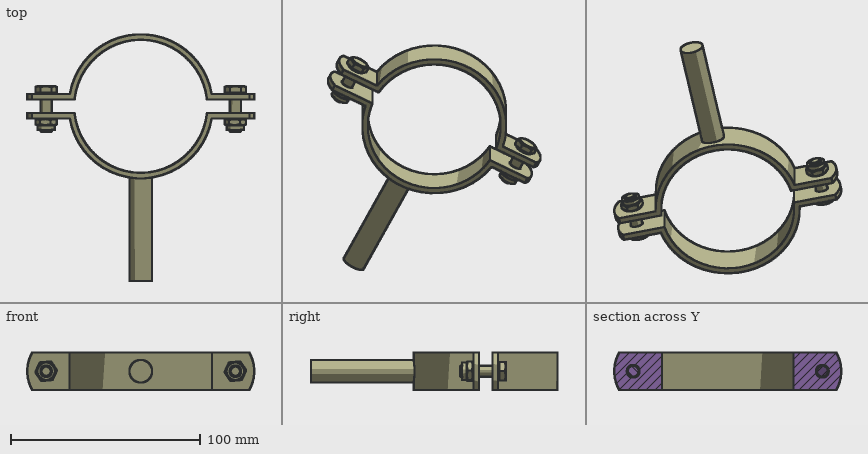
import cadquery as cq
import math

inner_radius = 35.1
wall = 3.0
outer_radius = inner_radius + wall
band_height = 20.0
half_gap = 3.5
flange_back = half_gap + wall
flange_reach = 60.0
flange_end_radius = band_height

rod_diameter = 12.0
overall_length = 130.5
rod_end_y = outer_radius - overall_length

bolt_x = 50.0
bolt_diameter = 6.0
bolt_hole_diameter = 6.5
bolt_protrusion = 7.0
bolt_tip_chamfer = 0.5
across_flats = 9.9
across_corners = across_flats / math.cos(math.radians(30))
hex_chamfer_angle = 30.0
hex_face_diameter = 8.9
washer_face_diameter = 8.7
washer_face_height = 0.7
head_height = 3.7
nut_hex_height = 3.7
nut_collar_diameter = 9.3
nut_collar_height = 2.2
nut_turn = 5.0


def cylinder_y(diameter, y_start, y_end, x=0.0):
    """Cylinder parallel to Y between two Y positions."""
    return (
        cq.Workplane("XZ", origin=(x, y_end, 0))
        .circle(diameter / 2)
        .extrude(y_end - y_start)
    )


def hexagon(height, chamfer_both_ends):
    """Hexagonal prism on Z = 0 with its corners turned off by a cone at the top or at both ends."""
    chamfer_width = (across_corners - hex_face_diameter) / 2
    chamfer_height = chamfer_width * math.tan(math.radians(hex_chamfer_angle))
    envelope = cq.Workplane("XY").circle(across_corners / 2).extrude(height)
    ends = "%CIRCLE" if chamfer_both_ends else ">Z"
    envelope = envelope.edges(ends).chamfer(chamfer_height, chamfer_width)
    return cq.Workplane("XY").polygon(6, across_corners).extrude(height).intersect(envelope)


def flange_outline():
    """Full-width band seen along Y, with rounded ends, as a block through all Y."""
    end_sagitta = flange_end_radius - math.sqrt(flange_end_radius**2 - (band_height / 2) ** 2)
    corner_x = flange_reach - end_sagitta
    half_height = band_height / 2
    return (
        cq.Workplane("XZ")
        .moveTo(-corner_x, -half_height)
        .lineTo(corner_x, -half_height)
        .threePointArc((flange_reach, 0), (corner_x, half_height))
        .lineTo(-corner_x, half_height)
        .threePointArc((-flange_reach, 0), (-corner_x, -half_height))
        .close()
        .extrude(outer_radius, both=True)
    )


def make_clamp_half(side):
    """Half ring with two drilled flanges; side is +1 for the upper half, -1 for the lower."""
    ring = cq.Workplane("XY").circle(outer_radius).extrude(band_height / 2, both=True)
    flanges = cq.Workplane("XY").box(2 * flange_reach, 2 * flange_back, band_height)
    bore = cq.Workplane("XY").circle(inner_radius).extrude(band_height, both=True)
    keep = (
        cq.Workplane("XY")
        .box(2 * flange_reach, outer_radius, band_height)
        .translate((0, side * (half_gap + outer_radius / 2), 0))
    )
    half = ring.union(flanges).cut(bore).intersect(keep).intersect(flange_outline())
    for x in (-bolt_x, bolt_x):
        half = half.cut(cylinder_y(bolt_hole_diameter, -outer_radius, outer_radius, x))
    return half


def make_lower_half_with_rod():
    """Lower clamp half with the handle rod joined to the middle of its band."""
    rod = cylinder_y(rod_diameter, rod_end_y, -inner_radius - wall / 2)
    return make_clamp_half(-1).union(rod)


def make_bolt(x):
    """Hex bolt with its head on the upper flange and its tip below the lower flange."""
    head_base = flange_back + washer_face_height
    shank = cylinder_y(bolt_diameter, -flange_back - bolt_protrusion, head_base, x)
    shank = shank.faces("<Y").chamfer(bolt_tip_chamfer)
    washer_face = cylinder_y(washer_face_diameter, flange_back, head_base, x)
    head = (
        hexagon(head_height, False)
        .rotate((0, 0, 0), (1, 0, 0), -90)
        .translate((x, head_base, 0))
    )
    return shank.union(washer_face).union(head)


def make_nut(x):
    """Lock nut: chamfered hexagon against the lower flange, then a round collar."""
    nut_height = nut_hex_height + nut_collar_height
    collar = cq.Workplane("XY").circle(nut_collar_diameter / 2).extrude(nut_height)
    thread = cq.Workplane("XY").circle(bolt_diameter / 2).extrude(nut_height)
    return (
        hexagon(nut_hex_height, True)
        .union(collar)
        .cut(thread)
        .rotate((0, 0, 0), (0, 0, 1), nut_turn)
        .rotate((0, 0, 0), (1, 0, 0), 90)
        .translate((x, -flange_back, 0))
    )


upper_half = make_clamp_half(1)
lower_half = make_lower_half_with_rod()
bolts = [make_bolt(x) for x in (-bolt_x, bolt_x)]
nuts = [make_nut(x) for x in (-bolt_x, bolt_x)]

result = cq.Compound.makeCompound(
    [upper_half.val(), lower_half.val()]
    + [bolt.val() for bolt in bolts]
    + [nut.val() for nut in nuts]
)